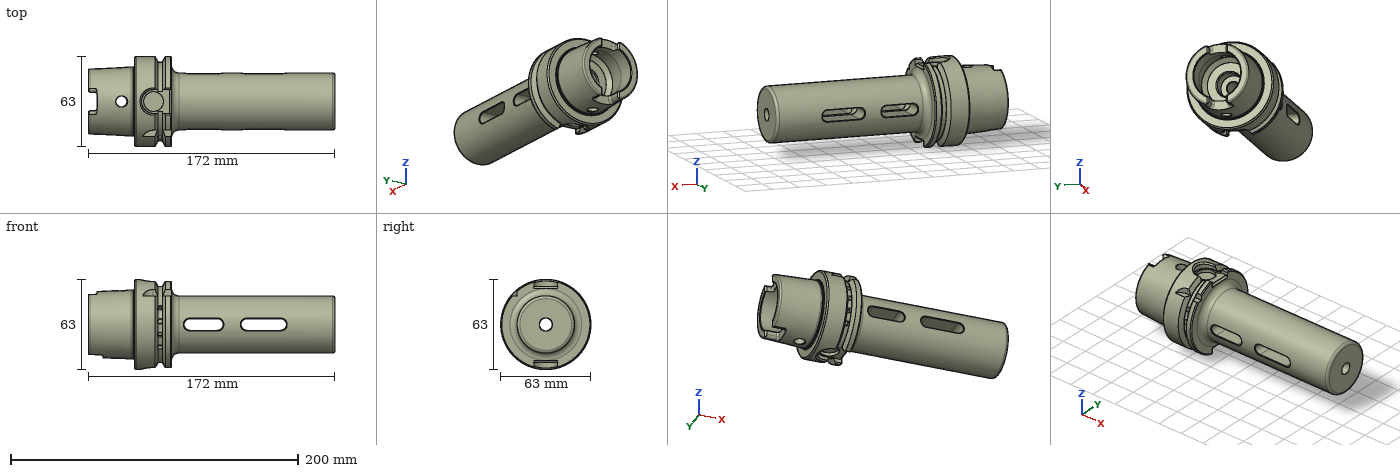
import cadquery as cq
import math

taper_length = 32.0
flange_width = 26.0
flange_end = taper_length + flange_width
total_length = 172.0

taper_big_radius = 24.2
taper_ratio = 0.1
taper_end = 29.8
taper_tip_radius = taper_big_radius - taper_end * taper_ratio / 2
tip_fillet = 1.1
relief_radius = 23.8
relief_start = 31.0
relief_end = 31.6
face_groove_radius = 25.0
face_groove_depth = 0.3
face_groove_bottom_radius = 24.6

flange_radius = 31.5
flange_front_chamfer = 1.0
flange_back_chamfer = 0.8
groove_x = 50.0
groove_floor_half = 1.55
groove_top_half = 3.65
groove_floor_radius = 27.4
groove_wall_angle = 30.0
groove_rise = (groove_top_half - groove_floor_half) / math.tan(math.radians(groove_wall_angle))
groove_step_radius = flange_radius - groove_rise

shank_radius = 20.0
neck_fillet = 5.0
shank_end_fillet = 2.0

bore_radius = 17.0
bore_chamfer = 0.6
bore_straight_depth = 12.8
chamber_radius = 19.0
chamber_end = 27.0
bore_floor_radius = 15.8
bore_depth = chamber_end + chamber_radius - bore_floor_radius
tube_seat_radius = 8.8
tube_seat_rim_radius = 9.6
tube_seat_depth = 10.0
through_hole_radius = 4.4
through_hole_chamfer = 0.4

drive_slot_half = 6.27
drive_slot_depths = {1: 6.0, -1: 10.0}
drive_edge_radius = 2.0
drive_floor_fillet = 1.5
drive_mouth_chamfer = 1.2

cross_hole_x = 23.0
cross_hole_radius = 3.8
cross_hole_chamfer = 0.4

pocket_x = 45.4
pocket_radius = 8.3
pocket_floor = 26.5
pocket_edge_chamfer = 1.2
pocket_back_chamfer = 1.4
recess_radius = 6.9
recess_depth = 2.5

notch_offset = 20.0
notch_end_x = 45.0
notch_cutter_radius = 8.0

groove_hole_angles = [25.0, 5.0, -15.0, -35.0]
groove_hole_radius = 1.75
groove_hole_depth = 4.0

drift_slots = [(66.2, 94.4), (105.9, 138.5)]
drift_slot_width = 9.0
drift_slot_chamfer = 0.5

clearance = 5.0
selection_margin = 1.0
fine_margin = 0.1


def turned_about_axis(outline):
    """Revolve a closed outline drawn as (X, radius) about the X axis."""
    return outline.close().revolve(360, (0, 0, 0), (1, 0, 0))


def make_body():
    outline = (
        cq.Workplane("XZ")
        .moveTo(0, 0)
        .lineTo(0, taper_tip_radius - tip_fillet)
        .radiusArc((tip_fillet, taper_tip_radius + tip_fillet * taper_ratio / 2), tip_fillet)
        .lineTo(taper_end, taper_big_radius)
        .lineTo(relief_start, taper_big_radius)
        .lineTo(relief_start, relief_radius)
        .lineTo(relief_end, relief_radius)
        .lineTo(relief_end, taper_big_radius)
        .lineTo(taper_length + face_groove_depth, face_groove_bottom_radius)
        .lineTo(taper_length, face_groove_radius)
        .lineTo(taper_length, flange_radius - flange_front_chamfer)
        .lineTo(taper_length + flange_front_chamfer, flange_radius)
        .lineTo(flange_end - flange_back_chamfer, flange_radius)
        .lineTo(flange_end, flange_radius - flange_back_chamfer)
        .lineTo(flange_end, shank_radius + neck_fillet)
        .radiusArc((flange_end + neck_fillet, shank_radius), -neck_fillet)
        .lineTo(total_length - shank_end_fillet, shank_radius)
        .radiusArc((total_length, shank_radius - shank_end_fillet), shank_end_fillet)
        .lineTo(total_length, 0)
    )
    return turned_about_axis(outline)


def make_gripper_groove():
    """V-shaped ring with a stepped flat floor, running past the flange surface."""
    outline = (
        cq.Workplane("XZ")
        .moveTo(groove_x - groove_top_half, flange_radius)
        .lineTo(groove_x - groove_floor_half, groove_step_radius)
        .lineTo(groove_x - groove_floor_half, groove_floor_radius)
        .lineTo(groove_x + groove_floor_half, groove_floor_radius)
        .lineTo(groove_x + groove_floor_half, groove_step_radius)
        .lineTo(groove_x + groove_top_half, flange_radius)
        .lineTo(groove_x + groove_top_half, flange_radius + clearance)
        .lineTo(groove_x - groove_top_half, flange_radius + clearance)
    )
    return turned_about_axis(outline)


def make_bore():
    seat_rim_drop = tube_seat_rim_radius - tube_seat_radius
    seat_floor = bore_depth + tube_seat_depth
    outline = (
        cq.Workplane("XZ")
        .moveTo(0, 0)
        .lineTo(0, bore_radius + bore_chamfer)
        .lineTo(bore_chamfer, bore_radius)
        .lineTo(bore_straight_depth, bore_radius)
        .lineTo(chamber_end, chamber_radius)
        .lineTo(bore_depth, bore_floor_radius)
        .lineTo(bore_depth, tube_seat_rim_radius)
        .lineTo(bore_depth + seat_rim_drop, tube_seat_radius)
        .lineTo(seat_floor, tube_seat_radius)
        .lineTo(seat_floor, through_hole_radius + through_hole_chamfer)
        .lineTo(seat_floor + through_hole_chamfer, through_hole_radius)
        .lineTo(total_length, through_hole_radius)
        .lineTo(total_length, 0)
    )
    return turned_about_axis(outline)


def make_drive_slot(side, depth):
    """Slot across the tip whose walls curve outward into the taper surface."""
    edge_y = drive_slot_half + drive_edge_radius
    edge_distance = taper_tip_radius - drive_edge_radius
    edge_z = math.sqrt(edge_distance ** 2 - edge_y ** 2)
    rim_scale = taper_tip_radius / edge_distance
    rim_y = edge_y * rim_scale
    rim_z = edge_z * rim_scale
    top_z = taper_tip_radius + clearance
    floor_z = bore_floor_radius - clearance
    mid_angle = (math.pi + math.atan2(edge_z, edge_y)) / 2
    mid_y = edge_y + drive_edge_radius * math.cos(mid_angle)
    mid_z = edge_z + drive_edge_radius * math.sin(mid_angle)
    slot = (
        cq.Workplane("YZ")
        .workplane(offset=-clearance)
        .moveTo(-drive_slot_half, floor_z)
        .lineTo(drive_slot_half, floor_z)
        .lineTo(drive_slot_half, edge_z)
        .threePointArc((mid_y, mid_z), (rim_y, rim_z))
        .lineTo(rim_y, top_z)
        .lineTo(-rim_y, top_z)
        .lineTo(-rim_y, rim_z)
        .threePointArc((-mid_y, mid_z), (-drive_slot_half, edge_z))
        .close()
        .extrude(depth + clearance)
    )
    wall_edges = cq.selectors.BoxSelector(
        (depth - fine_margin, -edge_y, floor_z + fine_margin),
        (depth + fine_margin, edge_y, rim_z),
        boundingbox=False,
    )
    slot = slot.edges(wall_edges).fillet(drive_floor_fillet)
    mouth_half = drive_slot_half + drive_mouth_chamfer
    mouth = (
        cq.Workplane("XY")
        .workplane(offset=floor_z)
        .moveTo(0, -mouth_half)
        .lineTo(drive_mouth_chamfer, -drive_slot_half)
        .lineTo(drive_mouth_chamfer, drive_slot_half)
        .lineTo(0, mouth_half)
        .close()
        .extrude(edge_z + drive_edge_radius - floor_z)
    )
    slot = slot.union(mouth)
    return slot if side > 0 else slot.mirror("XY")


def make_cross_hole():
    surface_z = taper_tip_radius + cross_hole_x * taper_ratio / 2
    hole = (
        cq.Workplane("XY")
        .center(cross_hole_x, 0)
        .circle(cross_hole_radius)
        .extrude(flange_radius, both=True)
    )
    countersink = cq.Solid.makeCone(
        cross_hole_radius,
        cross_hole_radius + 2 * cross_hole_chamfer,
        2 * cross_hole_chamfer,
        pnt=cq.Vector(cross_hole_x, 0, surface_z - cross_hole_chamfer),
        dir=cq.Vector(0, 0, 1),
    )
    top = cq.Workplane(countersink)
    return hole.union(top).union(top.mirror("XY"))


def make_key_pocket(side):
    """Round-ended pocket open toward the shank, with a round recess."""
    open_length = flange_end + clearance - pocket_x
    pocket = (
        cq.Workplane("XY")
        .workplane(offset=pocket_floor)
        .moveTo(pocket_x, pocket_radius)
        .threePointArc((pocket_x - pocket_radius, 0), (pocket_x, -pocket_radius))
        .lineTo(pocket_x + open_length, -pocket_radius)
        .lineTo(pocket_x + open_length, pocket_radius)
        .close()
        .extrude(flange_radius - pocket_floor)
    )
    recess = (
        cq.Workplane("XY")
        .workplane(offset=pocket_floor - recess_depth)
        .center(pocket_x, 0)
        .circle(recess_radius)
        .extrude(recess_depth)
    )
    back_chamfer = (
        cq.Workplane("XZ")
        .moveTo(flange_end - pocket_back_chamfer, pocket_floor)
        .lineTo(flange_end, pocket_floor)
        .lineTo(flange_end, pocket_floor - pocket_back_chamfer)
        .close()
        .extrude(pocket_radius, both=True)
    )
    pocket = pocket.union(recess).union(back_chamfer)
    return pocket if side > 0 else pocket.mirror("XY")


def cut_key_pocket(body, side):
    """Cut the pocket and chamfer its rim where it meets the flange surface."""
    body = body.cut(make_key_pocket(side))
    rim_reach = pocket_radius + selection_margin
    rim_end = flange_end - flange_back_chamfer
    rim = cq.selectors.BoxSelector(
        (pocket_x - rim_reach, -rim_reach, side * (pocket_floor + selection_margin)),
        (rim_end - fine_margin, rim_reach, side * (flange_radius + selection_margin)),
    )
    return body.edges(rim).chamfer(pocket_edge_chamfer)


def make_orientation_notch():
    """Square notch milled down to Z = notch_offset, with a round end."""
    cutter_y = -notch_offset - notch_cutter_radius
    notch_height = flange_radius - notch_offset
    run_out = flange_end - notch_end_x
    end = cq.Workplane("XY").workplane(offset=notch_offset).center(notch_end_x, cutter_y)
    straight = cq.Workplane("XY").box(
        run_out, 2 * notch_cutter_radius, notch_height, centered=(False, True, False)
    )
    straight = straight.translate((notch_end_x, cutter_y, notch_offset))
    return end.circle(notch_cutter_radius).extrude(notch_height).union(straight)


def make_groove_hole(angle):
    hole = cq.Workplane("XZ").center(groove_x, 0).circle(groove_hole_radius).extrude(groove_floor_radius)
    core = (
        cq.Workplane("YZ")
        .circle(groove_floor_radius - groove_hole_depth)
        .extrude(total_length)
    )
    return hole.cut(core).rotate((0, 0, 0), (1, 0, 0), -angle)


def cut_drift_slot(body, start, end):
    width = drift_slot_width - 2 * drift_slot_chamfer
    length = end - start - 2 * drift_slot_chamfer
    slot = (
        cq.Workplane("XZ")
        .center((start + end) / 2, 0)
        .slot2D(length, width)
        .extrude(shank_radius + clearance, both=True)
    )
    body = body.cut(slot)
    half_width = drift_slot_width / 2
    for side in (1, -1):
        rim = cq.selectors.BoxSelector(
            (start, side * (shank_radius - selection_margin), -half_width),
            (end, side * (shank_radius + selection_margin), half_width),
        )
        body = body.edges(rim).chamfer(drift_slot_chamfer)
    return body


result = make_body()
for slot_start, slot_end in drift_slots:
    result = cut_drift_slot(result, slot_start, slot_end)
result = result.cut(make_bore())
for slot_side, slot_depth in drive_slot_depths.items():
    result = result.cut(make_drive_slot(slot_side, slot_depth))
for pocket_side in (1, -1):
    result = cut_key_pocket(result, pocket_side)
result = result.cut(make_gripper_groove())
result = result.cut(make_cross_hole())
result = result.cut(make_orientation_notch())
for hole_angle in groove_hole_angles:
    result = result.cut(make_groove_hole(hole_angle))